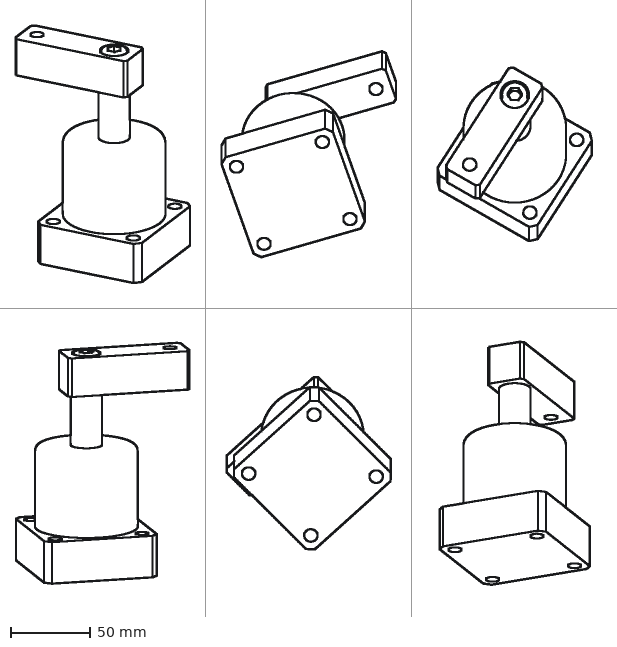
import cadquery as cq
import math

total_height = 140.5

base_side = 74.0
base_height = 27.0
base_corner_chamfer = 4.0
mount_hole_spacing = 57.0
through_hole_diameter = 8.5
body_diameter = 65.0
body_top = 80.0
body_top_fillet = 4.0

head_diameter = 16.0
head_height = 10.0
head_fillet = 1.0
head_projection = 1.0
socket_across_flats = 8.0
socket_depth = 5.0
socket_tip_angle = 120.0
shank_diameter = 10.0
shank_length = 29.9

arm_length = 80.0
arm_side = 25.0
arm_corner_chamfer = 2.0
arm_hole_reach = 55.0
arm_hole_edge_distance = 10.0
counterbore_diameter = 18.0
arm_top = total_height - head_projection
arm_bottom = arm_top - arm_side
arm_tip_x = -(arm_hole_reach + arm_hole_edge_distance)
head_seat = total_height - head_height

rod_diameter = 20.0
shank_end = head_seat - shank_length


def cylinder(diameter, bottom, top):
    """Cylinder on the Z axis between two heights."""
    return cq.Workplane("XY").workplane(offset=bottom).circle(diameter / 2).extrude(top - bottom)


def make_housing():
    """Chamfered square base with four through holes and a round body with a rounded rim."""
    base = (
        cq.Workplane("XY")
        .rect(base_side, base_side)
        .extrude(base_height)
        .edges("|Z")
        .chamfer(base_corner_chamfer)
        .faces(">Z")
        .workplane()
        .rect(mount_hole_spacing, mount_hole_spacing, forConstruction=True)
        .vertices()
        .hole(through_hole_diameter)
    )
    body = cylinder(body_diameter, base_height, body_top)
    body = body.faces(">Z").edges().fillet(body_top_fillet)
    return base.union(body)


def make_rod():
    """Rod between the housing and the arm, bored from above for the screw shank."""
    rod = cylinder(rod_diameter, body_top, arm_bottom)
    return rod.cut(cylinder(shank_diameter, shank_end, arm_bottom))


def make_arm():
    """Square bar with a plain hole near its tip and a counterbored hole on the rod axis."""
    arm = (
        cq.Workplane("XY")
        .workplane(offset=arm_bottom)
        .center(arm_tip_x + arm_length / 2, 0)
        .rect(arm_length, arm_side)
        .extrude(arm_side)
        .edges("|Z")
        .chamfer(arm_corner_chamfer)
    )
    tip_hole = cylinder(through_hole_diameter, arm_bottom, arm_top).translate((-arm_hole_reach, 0, 0))
    shank_hole = cylinder(shank_diameter, arm_bottom, head_seat)
    counterbore = cylinder(counterbore_diameter, head_seat, arm_top)
    return arm.cut(tip_hole).cut(shank_hole).cut(counterbore)


def make_socket():
    """Hexagonal socket with flats facing +Y and -Y, ending in a conical drill tip."""
    socket_floor = total_height - socket_depth
    across_corners = socket_across_flats / math.cos(math.pi / 6)
    tip_radius = socket_across_flats / 2
    tip_depth = tip_radius / math.tan(math.radians(socket_tip_angle / 2))
    hexagon = (
        cq.Workplane("XY")
        .workplane(offset=socket_floor)
        .polygon(6, across_corners)
        .extrude(socket_depth)
    )
    tip = cq.Workplane(
        cq.Solid.makeCone(tip_radius, 0, tip_depth, pnt=(0, 0, socket_floor), dir=(0, 0, -1))
    )
    return hexagon.union(tip)


def make_screw():
    """Cap screw clamping the arm to the end of the rod."""
    head = cylinder(head_diameter, head_seat, total_height)
    head = head.faces(">Z").edges().fillet(head_fillet)
    shank = cylinder(shank_diameter, shank_end, head_seat)
    return head.union(shank).cut(make_socket())


housing = make_housing()
rod = make_rod()
arm = make_arm()
screw = make_screw()

result = cq.Compound.makeCompound([housing.val(), rod.val(), arm.val(), screw.val()])